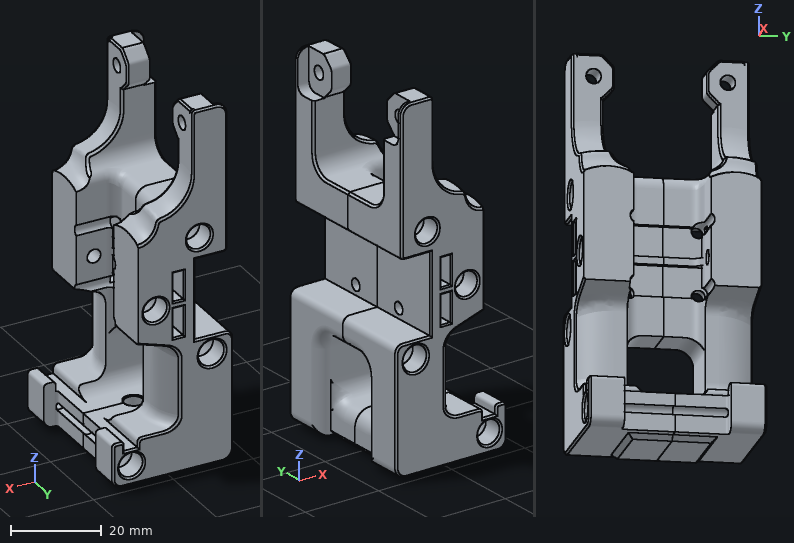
import cadquery as cq
import math

HALF_WIDTH = 20.0
HEIGHT = 90.9
DEPTH = 30.3
EDGE_CHAMFER = 0.5
TOL = 0.1
REACH = 45.5

FOOT_Z = 1.2
FOOT_FRONT_RADIUS = 2.7
FOOT_BACK_RADIUS = 2.3
SHELF_Z = 12.4
LOWER_TOP_Z = 33.5
LOWER_TOP_RADIUS = 2.0
WAIST_X = 9.5
UPPER_X = 1.5
UPPER_BOTTOM_Z = 53.7
UPPER_BOTTOM_RADIUS = 0.9
UPPER_TOP_RADIUS = 2.7
ARM_BACK_X = 10.3
BACK_X = 23.9
UPPER_SCOOP_Z = 75.7
UPPER_SCOOP_RADIUS = 8.9
LOWER_SCOOP_RADIUS = 4.8
STEP_RADIUS = 1.4
SLOPE_TOP_Z = 35.8
SLOPE_END_X = 17.9
SLOPE_END_Z = 33.9
GAP_FRONT_X = 10.9
GAP_X = 12.8
GAP_TOP_Z = 29.6
GAP_RADIUS = 3.1
GAP_TOP_RADIUS = 3.6

GROOVE_FRONT_X = BACK_X
GROOVE_BACK_X = 27.3
GROOVE_Z = 10.0
GROOVE_LIP_RADIUS = 1.2
HOOK_RADIUS = 0.9
HOOK_INNER_Y = 12.0
FOOT_BACK_CORNER = 0.7
FOOT_BACK_X = 26.9

WALL_X = 16.55
WALL_FLAT_Y = 11.8
WALL_SAG = 3.2

CROWN_Y = 14.4
CROWN_AXIS_Z = 48.8
CROWN_ANGLE = 60.0

NOTCH_HALF_WIDTH = 12.9
NOTCH_Z = 63.1
NOTCH_RADIUS = 4.8
NOTCH_CHAMFER = 0.55
EAR_INNER_Y = 10.4
EAR_BOTTOM_Z = 80.5
EAR_FRONT_X = 4.55
EAR_CORNER = 2.7
EAR_RADIUS = 1.4
EAR_POCKET_Y = 18.8
EAR_POCKET_RADIUS = 2.3
EAR_HOLE_Y = 15.1
EAR_HOLE_Z = 85.85
EAR_HOLE_DIAMETER = 3.4

WINDOW_HALF_WIDTH = 8.7
WINDOW_TOP_Z = 26.3
WINDOW_RADIUS = 4.55
WINDOW_TOP_RADIUS = 4.0
WINDOW_ROUND = 3.1
SILL_X = 3.4
SILL_ROUND = 4.0
CHANNEL_RADIUS = 0.23

CHUTE_X = 13.7
CHUTE_RADIUS = 2.7
CHUTE_ROUND = 3.1

SILL_CHAMFER = 0.9
PAD_HALF_WIDTH = 10.0
PAD_FRONT_X = SILL_X + SILL_CHAMFER
PAD_BACK_X = 24.4

PLATE_HOLE_DIAMETER = 3.0
PLATE_HOLE_Y = 8.0
PLATE_HOLE_ZS = (36.0, 50.9)
SLOT_X = (12.5, 15.0)
SLOT_CHAMFER = 0.4
SLOT_ZS = ((35.3, 42.65), (44.4, 51.6))
TRIPOD_HOLE_X = 14.2
TRIPOD_HOLE_DIAMETER = 4.6
TRIPOD_HOLE_FLOOR_Z = 2.7
TRIPOD_HOLE_CHAMFER = 0.3
SCREW_DIAMETER = 3.4
HEAD_DEPTH = 5.5
RIM_CHAMFER = 0.5
SCREWS = (
    (8.55, 58.9, 6.0),
    (19.5, 43.4, 6.0),
    (5.4, 29.0, 6.5),
    (25.55, 6.1, 6.0),
)


def block(x, y, z):
    """Box given by its (low, high) limits along each axis."""
    size = (x[1] - x[0], y[1] - y[0], z[1] - z[0])
    return cq.Workplane("XY").box(*size, centered=False).translate((x[0], y[0], z[0]))


def edges_within(body, x, y, z):
    """Edges of the body whose centres lie inside the given limits."""
    return body.edges(cq.selectors.BoxSelector((x[0], y[0], z[0]), (x[1], y[1], z[1])))


def on_y_edge(x, z):
    """Selector for the edge running along Y nearest to the given X and Z."""
    return cq.selectors.NearestToPointSelector((x, -HALF_WIDTH / 2, z))


def side_blank():
    """Side outline with sharp corners, extruded over the -Y half."""
    return (
        cq.Workplane("XZ")
        .moveTo(0, FOOT_Z)
        .lineTo(0, LOWER_TOP_Z)
        .lineTo(WAIST_X, LOWER_TOP_Z)
        .lineTo(WAIST_X, UPPER_BOTTOM_Z)
        .lineTo(UPPER_X, UPPER_BOTTOM_Z)
        .lineTo(UPPER_X, HEIGHT)
        .lineTo(BACK_X, HEIGHT)
        .lineTo(BACK_X, SLOPE_TOP_Z)
        .lineTo(SLOPE_END_X, SLOPE_END_Z)
        .lineTo(SLOPE_END_X, SHELF_Z)
        .lineTo(GROOVE_FRONT_X, SHELF_Z)
        .lineTo(GROOVE_FRONT_X, GROOVE_Z)
        .lineTo(GROOVE_BACK_X, GROOVE_Z)
        .lineTo(GROOVE_BACK_X, SHELF_Z)
        .lineTo(DEPTH, SHELF_Z)
        .lineTo(DEPTH, FOOT_Z)
        .close()
        .extrude(HALF_WIDTH)
    )


def lower_wall():
    """Wall between shelf and slope: its back face is flat in the middle and curves away outwards."""
    mid_y = -(WALL_FLAT_Y + HALF_WIDTH) / 2
    half_run = (HALF_WIDTH - WALL_FLAT_Y) / 2
    radius = (half_run ** 2 * 4 + WALL_SAG ** 2) / (2 * WALL_SAG)
    mid_x = WALL_X - radius + math.sqrt(radius ** 2 - half_run ** 2)
    return (
        cq.Workplane("XY", origin=(0, 0, GROOVE_Z))
        .moveTo(GAP_FRONT_X, 0)
        .lineTo(WALL_X, 0)
        .lineTo(WALL_X, -WALL_FLAT_Y)
        .threePointArc((mid_x, mid_y), (WALL_X - WALL_SAG, -HALF_WIDTH))
        .lineTo(GAP_FRONT_X, -HALF_WIDTH)
        .close()
        .extrude(SLOPE_TOP_Z - GROOVE_Z)
    )


def gap_void():
    """Gap between shelf and slope, open to the back, reaching inside the lower wall."""
    drop = (SLOPE_TOP_Z - SLOPE_END_Z) / (BACK_X - SLOPE_END_X)
    front_z = SLOPE_END_Z - drop * (SLOPE_END_X - GAP_FRONT_X)
    return (
        cq.Workplane("XZ")
        .moveTo(GAP_FRONT_X, SHELF_Z)
        .lineTo(GAP_FRONT_X, front_z)
        .lineTo(SLOPE_END_X, SLOPE_END_Z)
        .lineTo(SLOPE_END_X, SHELF_Z)
        .close()
        .extrude(HALF_WIDTH)
    )


def scoop_void():
    """Two stepped scoops behind the arm, turned about an X axis so that they are crowned in Y."""
    k = math.sqrt(0.5)
    step_x = ARM_BACK_X + UPPER_SCOOP_RADIUS
    step_z = UPPER_SCOOP_Z - UPPER_SCOOP_RADIUS
    void = (
        cq.Workplane("XZ", origin=(0, -CROWN_Y, 0))
        .moveTo(ARM_BACK_X, UPPER_SCOOP_Z)
        .threePointArc((step_x - UPPER_SCOOP_RADIUS * k, UPPER_SCOOP_Z - UPPER_SCOOP_RADIUS * k),
                       (step_x, step_z))
        .threePointArc((BACK_X - LOWER_SCOOP_RADIUS * k, step_z - LOWER_SCOOP_RADIUS * k),
                       (BACK_X, step_z - LOWER_SCOOP_RADIUS))
        .lineTo(DEPTH, step_z - LOWER_SCOOP_RADIUS)
        .lineTo(DEPTH, HEIGHT + UPPER_SCOOP_RADIUS)
        .lineTo(ARM_BACK_X, HEIGHT + UPPER_SCOOP_RADIUS)
        .close()
        .revolve(2 * CROWN_ANGLE, (0, CROWN_AXIS_Z, 0), (1, CROWN_AXIS_Z, 0))
    )
    axis = ((0, -CROWN_Y, CROWN_AXIS_Z), (1, -CROWN_Y, CROWN_AXIS_Z))
    void = void.rotate(*axis, -CROWN_ANGLE)
    step_edge = cq.selectors.NearestToPointSelector((step_x, -CROWN_Y, step_z))
    return void.edges(step_edge).fillet(STEP_RADIUS)


def side_body():
    """Blank with its gap, wall, scoops and rounded corners, chamfered around the outer side."""
    body = side_blank().cut(gap_void()).union(lower_wall())
    wall_x = (GAP_X, WALL_X + TOL)
    wall_y = (-HALF_WIDTH + TOL, -TOL)
    body = edges_within(body, wall_x, wall_y, (SHELF_Z - TOL, SHELF_Z + TOL)).fillet(GAP_RADIUS)
    body = edges_within(body, wall_x, wall_y, (GAP_TOP_Z, SLOPE_END_Z)).fillet(GAP_TOP_RADIUS)
    body = body.cut(scoop_void())
    rounds = (
        (0, FOOT_Z, FOOT_FRONT_RADIUS),
        (0, LOWER_TOP_Z, LOWER_TOP_RADIUS),
        (UPPER_X, UPPER_BOTTOM_Z, UPPER_BOTTOM_RADIUS),
        (UPPER_X, HEIGHT, UPPER_TOP_RADIUS),
        (ARM_BACK_X, HEIGHT, HOOK_RADIUS),
        (GROOVE_FRONT_X, SHELF_Z, GROOVE_LIP_RADIUS),
        (GROOVE_BACK_X, SHELF_Z, HOOK_RADIUS),
        (DEPTH, SHELF_Z, HOOK_RADIUS),
        (DEPTH, FOOT_Z, FOOT_BACK_RADIUS),
    )
    for x, z, radius in rounds:
        body = body.edges("|Y").edges(on_y_edge(x, z)).fillet(radius)
    outline = body.faces("<Y").edges()
    back_edge = cq.selectors.BoxSelector((BACK_X - TOL, -REACH, SLOPE_TOP_Z), (BACK_X + TOL, REACH, HEIGHT))
    return outline.edges(cq.selectors.InverseSelector(back_edge)).chamfer(EDGE_CHAMFER)


def cut_upper_notch(body):
    """Open the space between the arms and chamfer its front rim."""
    notch = block((-0.9, REACH), (-NOTCH_HALF_WIDTH, NOTCH_HALF_WIDTH), (NOTCH_Z, HEIGHT + 0.9))
    body = body.cut(notch.edges("|X and <Z").fillet(NOTCH_RADIUS))
    rim = edges_within(
        body,
        (UPPER_X - TOL, UPPER_X + TOL),
        (-NOTCH_HALF_WIDTH - TOL, 0),
        (NOTCH_Z - TOL, HEIGHT - UPPER_TOP_RADIUS),
    )
    return rim.chamfer(NOTCH_CHAMFER)


def window_void():
    """Lower window with a front channel running down from it, and a rounded sill and front rim."""
    width = (-WINDOW_HALF_WIDTH, WINDOW_HALF_WIDTH)
    wall = block((0, GROOVE_FRONT_X), (-HALF_WIDTH, 0), (-WINDOW_ROUND, LOWER_TOP_Z))
    opening = block((-0.9, REACH), width, (GROOVE_Z, WINDOW_TOP_Z))
    opening = opening.edges("|X and <Z").fillet(WINDOW_RADIUS).edges("|X and >Z").fillet(WINDOW_TOP_RADIUS)
    channel = block((-0.9, SILL_X), width, (-REACH, WINDOW_TOP_Z - WINDOW_RADIUS))
    channel = channel.edges("|Z and >X").fillet(CHANNEL_RADIUS)
    pierced = wall.cut(opening).cut(channel)

    near_side = (-WINDOW_HALF_WIDTH - TOL, 0)
    sill_z = (GROOVE_Z - TOL, GROOVE_Z + WINDOW_RADIUS)
    pierced = edges_within(pierced, (SILL_X - TOL, SILL_X + TOL), near_side, sill_z).fillet(SILL_ROUND)
    pierced = edges_within(pierced, (-TOL, TOL), near_side, (0, WINDOW_TOP_Z + TOL)).fillet(WINDOW_ROUND)
    return wall.cut(pierced)


def sill_foot_void():
    """Wedge that chamfers the bottom edge of the foot below the window sill."""
    return (
        cq.Workplane("XZ")
        .moveTo(PAD_FRONT_X, FOOT_Z)
        .lineTo(SILL_X - SILL_CHAMFER, FOOT_Z + 2 * SILL_CHAMFER)
        .lineTo(SILL_X - SILL_CHAMFER, FOOT_Z)
        .close()
        .extrude(WINDOW_HALF_WIDTH)
    )


def cut_chute(body):
    """Cut the chute behind the middle plate and round the rim where the notch floor drops into it."""
    chute = block(
        (CHUTE_X, REACH),
        (-WINDOW_HALF_WIDTH, WINDOW_HALF_WIDTH),
        (WINDOW_TOP_Z - WINDOW_RADIUS, HEIGHT),
    )
    body = body.cut(chute.edges("|Z and <X").fillet(CHUTE_RADIUS))
    rim = edges_within(
        body,
        (CHUTE_X - TOL, BACK_X),
        (-WINDOW_HALF_WIDTH - TOL, 0),
        (NOTCH_Z - TOL, NOTCH_Z + NOTCH_RADIUS / 2),
    )
    return rim.fillet(CHUTE_ROUND)


def cylinder_along_x(diameter, y, z):
    """Long cylinder along X, for through holes."""
    return cq.Workplane("YZ", origin=(-0.9, y, z)).circle(diameter / 2).extrude(REACH)


def add_ear(body):
    """Widen the arm tip into an ear with a screw seat and a hole through X."""
    ear = block((EAR_FRONT_X, ARM_BACK_X), (-EAR_POCKET_Y, -EAR_INNER_Y), (EAR_BOTTOM_Z, HEIGHT))
    ear = ear.edges("|X and >Y").chamfer(EAR_CORNER)
    ear = edges_within(ear, (0, DEPTH), (-EAR_HOLE_Y, 0), (0, REACH * 3)).edges("|X").fillet(EAR_RADIUS)
    ear = ear.faces(">X").edges(">Y").chamfer(EDGE_CHAMFER)
    seat = block((-0.9, EAR_FRONT_X), (-EAR_POCKET_Y, 0), (EAR_BOTTOM_Z, HEIGHT + 0.9))
    seat = seat.edges("|X and <Y and <Z").fillet(EAR_POCKET_RADIUS)
    hole = cylinder_along_x(EAR_HOLE_DIAMETER, -EAR_HOLE_Y, EAR_HOLE_Z)
    return body.cut(seat).union(ear).cut(hole)


def trim_foot_back(body):
    """Leave the hook only near the outer side of the foot."""
    space = block((FOOT_BACK_X, REACH), (-HOOK_INNER_Y, HOOK_INNER_Y), (-0.9, SHELF_Z + 0.9))
    return body.cut(space.edges("|Z and <X").fillet(FOOT_BACK_CORNER))


def base_pad():
    """Low pad under the foot with sloping sides."""
    length = PAD_BACK_X - PAD_FRONT_X
    pad = (
        cq.Workplane("XY")
        .workplane(offset=FOOT_Z)
        .center(PAD_FRONT_X + length / 2, 0)
        .rect(length, 2 * PAD_HALF_WIDTH)
        .extrude(-FOOT_Z, taper=45)
    )
    return pad.intersect(block((-0.9, REACH), (-HALF_WIDTH, 0), (-0.9, FOOT_Z)))


def screw_cutter(x, z, head_diameter):
    """Countersunk rim, head bore, conical seat and through hole along Y."""
    head_radius = head_diameter / 2
    screw_radius = SCREW_DIAMETER / 2
    seat_depth = HEAD_DEPTH + head_radius - screw_radius
    return (
        cq.Workplane("XY", origin=(x, -HALF_WIDTH, z))
        .lineTo(head_radius + RIM_CHAMFER, 0)
        .lineTo(head_radius, RIM_CHAMFER)
        .lineTo(head_radius, HEAD_DEPTH)
        .lineTo(screw_radius, seat_depth)
        .lineTo(screw_radius, HALF_WIDTH)
        .lineTo(0, HALF_WIDTH)
        .close()
        .revolve(360, (0, 0, 0), (0, 1, 0))
    )


def slot_rim(slot_z):
    """Chamfer at the outer mouth of a slot."""
    length = SLOT_X[1] - SLOT_X[0] + 2 * SLOT_CHAMFER
    height = slot_z[1] - slot_z[0] + 2 * SLOT_CHAMFER
    centre = (sum(SLOT_X) / 2, -HALF_WIDTH, sum(slot_z) / 2)
    return cq.Workplane("XZ", origin=centre).rect(length, height).extrude(-SLOT_CHAMFER, taper=45)


def cut_holes(body):
    """Plate holes, strap slots, screw holes and the blind tripod hole in the window floor."""
    for z in PLATE_HOLE_ZS:
        body = body.cut(cylinder_along_x(PLATE_HOLE_DIAMETER, -PLATE_HOLE_Y, z))
    for slot_z in SLOT_ZS:
        slot = block(SLOT_X, (-HALF_WIDTH, 0), slot_z)
        body = body.cut(slot.union(slot_rim(slot_z)))
    for x, z, head_diameter in SCREWS:
        body = body.cut(screw_cutter(x, z, head_diameter))
    mouth = cq.Workplane("XY", origin=(TRIPOD_HOLE_X, 0, GROOVE_Z))
    tripod_hole = mouth.circle(TRIPOD_HOLE_DIAMETER / 2).extrude(TRIPOD_HOLE_FLOOR_Z - GROOVE_Z)
    rim = mouth.circle(TRIPOD_HOLE_DIAMETER / 2 + TRIPOD_HOLE_CHAMFER).extrude(-TRIPOD_HOLE_CHAMFER, taper=45)
    return body.cut(tripod_hole).cut(rim)


def frame_half(side):
    """One half of the frame, on the -Y side (side = -1) or the +Y side (side = 1)."""
    body = side_body()
    body = cut_upper_notch(body)
    body = body.cut(window_void())
    body = body.cut(sill_foot_void())
    body = cut_chute(body)
    body = add_ear(body)
    body = trim_foot_back(body)
    body = body.union(base_pad())
    body = cut_holes(body)
    return body if side < 0 else body.mirror("XZ")


frame_halves = [frame_half(side).val() for side in (-1, 1)]
result = cq.Compound.makeCompound(frame_halves)